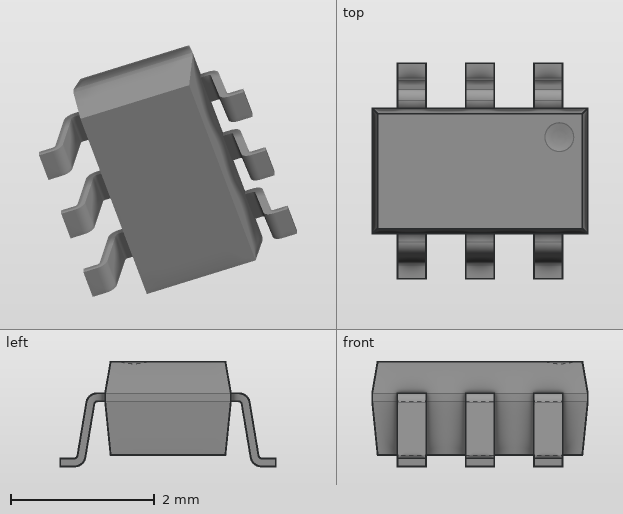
import cadquery as cq
import math

body_length = 3.0
body_width = 1.75
draft_inset = 0.076
body_bottom = 0.16
body_top = 1.46

dimple_diameter = 0.4
dimple_depth = 0.03
dimple_x = 1.1
dimple_y = 0.475

lead_count_per_side = 3
lead_pitch = 0.95
lead_width = 0.4
lead_thickness = 0.115
lead_top = 1.02
lead_span = 3.0
foot_flat = 0.2
inner_radius = 0.04
outer_radius = inner_radius + lead_thickness
leg_angle = math.radians(9.5)

band_bottom = lead_top - lead_thickness
band_top = lead_top


def tapered_block(start_z, end_z):
    """Block from the full body outline at start_z to the inset outline at end_z."""
    return (
        cq.Workplane("XY", origin=(0, 0, start_z))
        .rect(body_length, body_width)
        .workplane(offset=end_z - start_z)
        .rect(body_length - 2 * draft_inset, body_width - 2 * draft_inset)
        .loft(ruled=True, combine=True)
    )


def make_body():
    """Drafted upper and lower halves joined by a vertical band, with the index dimple."""
    band = (
        cq.Workplane("XY", origin=(0, 0, band_bottom))
        .rect(body_length, body_width)
        .extrude(band_top - band_bottom)
    )
    upper = tapered_block(band_top, body_top)
    lower = tapered_block(band_bottom, body_bottom)

    dimple_radius = dimple_diameter / 2
    sphere_radius = (dimple_radius**2 + dimple_depth**2) / (2 * dimple_depth)
    sphere_z = body_top - dimple_depth + sphere_radius
    dimple = cq.Workplane("XY", origin=(dimple_x, dimple_y, sphere_z)).sphere(sphere_radius)
    return band.union(upper).union(lower).cut(dimple)


def make_lead(x):
    """Lead on the +Y side, centred on x: shoulder, leaning leg and foot."""
    root_y = body_width / 2
    toe_y = lead_span / 2

    foot_bend_y = toe_y - foot_flat
    foot_bend_z = outer_radius
    shoulder_bend_z = lead_top - outer_radius
    bend_rise = shoulder_bend_z - foot_bend_z
    tangent_gap = inner_radius + outer_radius
    bend_run = bend_rise * math.tan(leg_angle) + tangent_gap / math.cos(leg_angle)
    shoulder_bend_y = foot_bend_y - bend_run

    def shoulder_point(radius, angle):
        return (
            shoulder_bend_y + radius * math.cos(angle),
            shoulder_bend_z + radius * math.sin(angle),
        )

    def foot_point(radius, angle):
        return (
            foot_bend_y - radius * math.cos(angle),
            foot_bend_z - radius * math.sin(angle),
        )

    flat_end = math.pi / 2
    leg_end = leg_angle
    middle = (flat_end + leg_end) / 2

    profile = (
        cq.Workplane("YZ", origin=(x - lead_width / 2, 0, 0))
        .moveTo(root_y, lead_top)
        .lineTo(*shoulder_point(outer_radius, flat_end))
        .threePointArc(shoulder_point(outer_radius, middle), shoulder_point(outer_radius, leg_end))
        .lineTo(*foot_point(inner_radius, leg_end))
        .threePointArc(foot_point(inner_radius, middle), foot_point(inner_radius, flat_end))
        .lineTo(toe_y, lead_thickness)
        .lineTo(toe_y, 0)
        .lineTo(*foot_point(outer_radius, flat_end))
        .threePointArc(foot_point(outer_radius, middle), foot_point(outer_radius, leg_end))
        .lineTo(*shoulder_point(inner_radius, leg_end))
        .threePointArc(shoulder_point(inner_radius, middle), shoulder_point(inner_radius, flat_end))
        .lineTo(root_y, lead_top - lead_thickness)
        .close()
    )
    return profile.extrude(lead_width)


body = make_body()

leads = []
for index in range(lead_count_per_side):
    lead_x = (index - (lead_count_per_side - 1) / 2) * lead_pitch
    lead = make_lead(lead_x)
    leads.append(lead.val())
    leads.append(lead.mirror("XZ").val())

result = cq.Compound.makeCompound([body.val(), *leads])